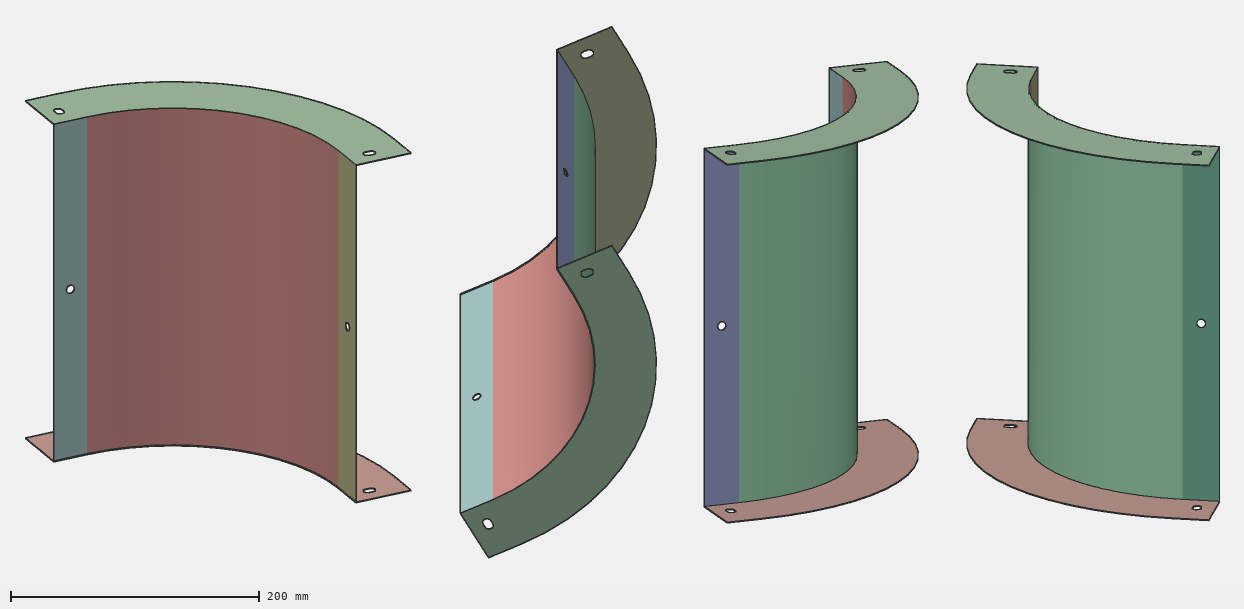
import cadquery as cq
import math

height = 300.0
sheet = 0.8
outer_radius = 200.0
flange_width = 50.0
straight = 30.0
hole_diameter = 7.0
slot_length = 10.5
slot_from_outer_edge = 30.0

inner_radius = outer_radius - flange_width
hole_offset = straight / 2
slot_radius = outer_radius - slot_from_outer_edge


def quarter_band(outer, inner, thickness, base_z):
    """Quarter ring with a straight run at both ends, extruded upward from base_z."""
    diagonal = math.sqrt(0.5)
    return (
        cq.Workplane("XY", origin=(0, 0, base_z))
        .moveTo(straight, outer)
        .lineTo(0, outer)
        .threePointArc((-outer * diagonal, outer * diagonal), (-outer, 0))
        .lineTo(-outer, -straight)
        .lineTo(-inner, -straight)
        .lineTo(-inner, 0)
        .threePointArc((-inner * diagonal, inner * diagonal), (0, inner))
        .lineTo(straight, inner)
        .close()
        .extrude(thickness)
    )


def flange_slots():
    """Slots across both ends of the two flanges, cut through the full height."""
    quarter_turn = 90
    left = (
        cq.Workplane("XY")
        .center(-slot_radius, -hole_offset)
        .slot2D(slot_length, hole_diameter)
        .extrude(height)
    )
    right = (
        cq.Workplane("XY")
        .center(hole_offset, slot_radius)
        .slot2D(slot_length, hole_diameter, quarter_turn)
        .extrude(height)
    )
    return left.union(right)


def web_holes():
    """One round hole at mid height through each straight run of the web."""
    web_middle = inner_radius + sheet / 2
    drill_reach = sheet
    left = (
        cq.Workplane("YZ", origin=(-web_middle, -hole_offset, height / 2))
        .circle(hole_diameter / 2)
        .extrude(drill_reach, both=True)
    )
    right = (
        cq.Workplane("XZ", origin=(hole_offset, web_middle, height / 2))
        .circle(hole_diameter / 2)
        .extrude(drill_reach, both=True)
    )
    return left.union(right)


web = quarter_band(inner_radius + sheet, inner_radius, height, 0)
bottom_flange = quarter_band(outer_radius, inner_radius, sheet, 0)
top_flange = quarter_band(outer_radius, inner_radius, sheet, height - sheet)

result = web.union(bottom_flange).union(top_flange).cut(flange_slots()).cut(web_holes())